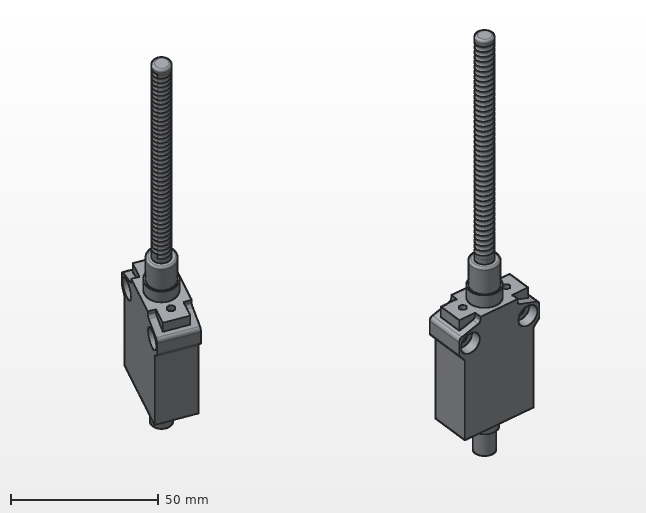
import cadquery as cq
TOTAL_HEIGHT = 174.9
HOUSING_BOTTOM = 15.2
HOUSING_TOP = 64.2
GLAND_BOTTOM = 10.0
COLLAR_TOP = 69.5
SLEEVE_TOP = 80.5

HOUSING_WIDTH = 29.9
HOUSING_DEPTH = 16.0
TENON_DEPTH = 10.0
EAR_SPAN = 35.0
EAR_TOP = 59.0
EAR_BOTTOM = 52.0
EAR_ROOT = 49.0
EAR_TOP_RADIUS = 1.7
EAR_BOTTOM_RADIUS = 1.4
EAR_ROOT_RADIUS = 0.9
SHOULDER_WIDTH = 16.3
SHOULDER_HEIGHT = 62.0
SHOULDER_RADIUS = 1.4

MOUNT_SPACING = 25.0
MOUNT_HEIGHT = 55.1
MOUNT_DIAMETER = 4.2
RECESS_DIAMETER = 8.2
RECESS_DEPTH = 4.2
TOP_HOLE_SPACING = 18.9
TOP_HOLE_DIAMETER = 2.8
TOP_HOLE_DEPTH = 2.6

GLAND_DIAMETER = 10.1
CABLE_DIAMETER = 8.0
COLLAR_DIAMETER = 12.5
SLEEVE_DIAMETER = 11.0
SLEEVE_TOP_RADIUS = 0.9
ROD_DIAMETER = 7.0
ROD_RADIUS = ROD_DIAMETER / 2
ROD_TOP_RADIUS = 1.0

GROOVE_PITCH = 2.1
GROOVE_DEPTH = 0.3
GROOVE_TURNS = 42
GROOVE_BOTTOM = 82.5
GROOVE_TOP = GROOVE_BOTTOM + (GROOVE_TURNS + 1) * GROOVE_PITCH
GROOVE_START_ANGLE = -45
SEAM_TOLERANCE = 0.001


def cylinder(diameter, bottom, top):
    return cq.Workplane("XY", origin=(0, 0, bottom)).circle(diameter / 2).extrude(top - bottom)


def front_plate(points, depth):
    """Extrude an outline in X and Z, centred on the Y axis."""
    return cq.Workplane("XZ").polyline(points).close().extrude(depth / 2, both=True)


def edges_at(x, z):
    """Select the edges along Y at x and -x."""
    reach = 0.09
    selector = None
    for side in (-1, 1):
        box = cq.selectors.BoxSelector(
            (side * x - reach, -HOUSING_DEPTH, z - reach), (side * x + reach, HOUSING_DEPTH, z + reach)
        )
        selector = box if selector is None else selector + box
    return selector


def make_housing():
    half_width = HOUSING_WIDTH / 2
    half_span = EAR_SPAN / 2
    half_shoulder = SHOULDER_WIDTH / 2
    right_side = [
        (half_width, HOUSING_BOTTOM),
        (half_width, EAR_ROOT),
        (half_span, EAR_BOTTOM),
        (half_span, EAR_TOP),
        (half_shoulder, SHOULDER_HEIGHT),
        (half_shoulder, HOUSING_TOP),
    ]
    left_side = [(-x, z) for x, z in reversed(right_side)]
    body = front_plate(right_side + left_side, HOUSING_DEPTH)
    body = body.edges(edges_at(half_span, EAR_TOP)).fillet(EAR_TOP_RADIUS)
    body = body.edges(edges_at(half_span, EAR_BOTTOM)).fillet(EAR_BOTTOM_RADIUS)
    body = body.edges(edges_at(half_width, EAR_ROOT)).fillet(EAR_ROOT_RADIUS)
    body = body.edges(edges_at(half_shoulder, SHOULDER_HEIGHT)).fillet(SHOULDER_RADIUS)

    tenon = cq.Workplane("XY", origin=(0, 0, HOUSING_BOTTOM)).rect(HOUSING_WIDTH, TENON_DEPTH)
    body = body.union(tenon.extrude(HOUSING_TOP - HOUSING_BOTTOM))

    mount_centres = [(-MOUNT_SPACING / 2, MOUNT_HEIGHT), (MOUNT_SPACING / 2, MOUNT_HEIGHT)]
    front = cq.Workplane("XZ", origin=(0, -HOUSING_DEPTH / 2, 0)).pushPoints(mount_centres)
    body = body.cut(front.circle(MOUNT_DIAMETER / 2).extrude(-HOUSING_DEPTH))
    body = body.cut(front.circle(RECESS_DIAMETER / 2).extrude(-RECESS_DEPTH))

    top = cq.Workplane("XY", origin=(0, 0, HOUSING_TOP))
    top_holes = top.rarray(TOP_HOLE_SPACING, 1.7, 2, 1).circle(TOP_HOLE_DIAMETER / 2)
    return body.cut(top_holes.extrude(-TOP_HOLE_DEPTH))


def make_cable():
    gland = cylinder(GLAND_DIAMETER, GLAND_BOTTOM, HOUSING_BOTTOM)
    return gland.union(cylinder(CABLE_DIAMETER, 0, GLAND_BOTTOM))


def make_sleeve():
    collar = cylinder(COLLAR_DIAMETER, HOUSING_TOP, COLLAR_TOP)
    upper = cylinder(SLEEVE_DIAMETER, COLLAR_TOP, SLEEVE_TOP).faces(">Z").edges().fillet(SLEEVE_TOP_RADIUS)
    return collar.union(upper)


def groove_profile(z):
    """Round hollow between two crests, the lower one at height z."""
    return cq.Edge.makeThreePointArc(
        cq.Vector(ROD_RADIUS, 0, z),
        cq.Vector(ROD_RADIUS - GROOVE_DEPTH, 0, z + GROOVE_PITCH / 2),
        cq.Vector(ROD_RADIUS, 0, z + GROOVE_PITCH),
    )


def crest_helix(z):
    """One turn of the crest, starting at height z."""
    return cq.Wire.makeHelix(GROOVE_PITCH, GROOVE_PITCH, ROD_RADIUS, center=cq.Vector(0, 0, z))


def groove_turn_faces():
    """Surface of the lowest turn of the groove, its profile kept square to the rod's axis."""
    profile = cq.Wire.assembleEdges([groove_profile(GROOVE_BOTTOM)])
    axis = cq.Wire.makePolygon([cq.Vector(0, 0, GROOVE_BOTTOM), cq.Vector(0, 0, GROOVE_BOTTOM + GROOVE_PITCH)])
    return cq.Solid.sweep(profile, [], crest_helix(GROOVE_BOTTOM), makeSolid=False, mode=axis).Faces()


def groove_end_faces(profile_height, circle_height):
    """Flat end wall of the groove, and the plain rod surface between its crest and a full circle."""
    profile = groove_profile(profile_height)
    closing_line = cq.Edge.makeLine(profile.endPoint(), profile.startPoint())
    wall = cq.Face.makeFromWires(cq.Wire.assembleEdges([profile, closing_line]))
    circle = cq.Edge.makeCircle(ROD_RADIUS, cq.Vector(0, 0, circle_height))
    crest = crest_helix(profile_height).Edges()[0]
    return [wall, cq.Face.makeRuledSurface(circle, crest)]


def make_rod():
    """Close the rod from its plain ends and the turns of a groove that meet in sharp crests."""
    foot = cylinder(ROD_DIAMETER, SLEEVE_TOP, GROOVE_BOTTOM)
    tip = cylinder(ROD_DIAMETER, GROOVE_TOP, TOTAL_HEIGHT).faces(">Z").edges().fillet(ROD_TOP_RADIUS)
    faces = foot.faces("not >Z").vals() + tip.faces("not <Z").vals()

    first_turn = groove_turn_faces()
    for turn in range(GROOVE_TURNS):
        rise = cq.Vector(0, 0, turn * GROOVE_PITCH)
        faces += [face.translate(rise) for face in first_turn]
    faces += groove_end_faces(GROOVE_BOTTOM, GROOVE_BOTTOM)
    faces += groove_end_faces(GROOVE_TOP - GROOVE_PITCH, GROOVE_TOP)

    rod = cq.occ_impl.shapes.solid(*faces, tol=SEAM_TOLERANCE)
    return cq.Workplane(obj=rod).rotate((0, 0, 0), (0, 0, 1), GROOVE_START_ANGLE)


housing = make_housing()
cable = make_cable()
sleeve = make_sleeve()
rod = make_rod()

result = cq.Compound.makeCompound([housing.val(), cable.val(), sleeve.val(), rod.val()])